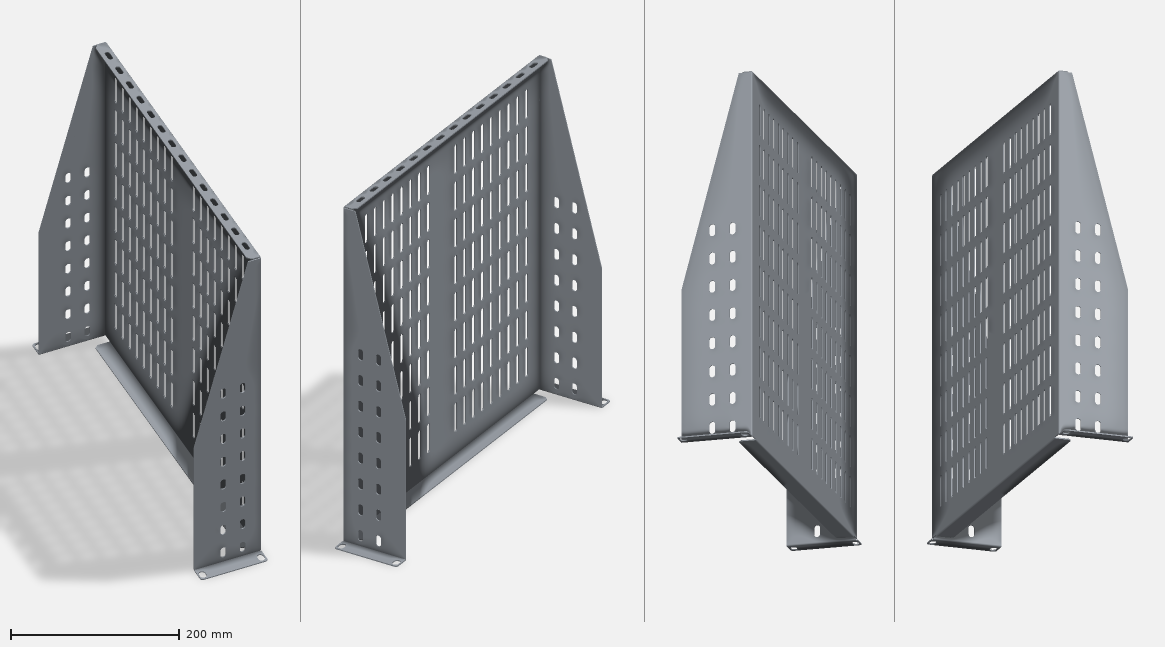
import cadquery as cq
import math

overall_width = 482.5
depth = 88.0
height = 455.0

sheet = 1.5
bend_radius = 1.7
inner_radius = bend_radius - sheet
fold_lap = 5.0

body_width = 443.0
side_top_depth = 16.5
side_straight_height = 190.0
top_flange_depth = 16.5
top_flange_chamfer = 5.5
bottom_flange_depth = 21.5
bottom_flange_width = 414.0
bottom_flange_chamfer = 4.0
ear_corner_radius = 3.5

rear_slot_length = 39.5
rear_slot_width = 6.5
rear_columns_per_block = 9
rear_inner_column = 31.0
rear_outer_column = 190.5
rear_rows = 8
rear_lowest_row = 51.5
rear_highest_row = 402.0

top_slot_length = 15.0
top_slot_width = 6.5
top_slot_count = 14
top_slot_span = 390.0
top_slot_setback = 8.0

side_slot_length = 15.0
side_slot_width = 7.0
side_slot_rows = 8
side_slot_lowest = 15.5
side_slot_highest = 261.0
side_slot_setbacks = (24.5, 49.5)

ear_slot_length = 12.0
ear_slot_width = 8.0
ear_slot_offset = 233.0
ear_slot_spacing = 76.0


def evenly_spaced(first, last, count):
    step = (last - first) / (count - 1)
    return [first + i * step for i in range(count)]


def folded_angle(plane, corner, u_leg, v_leg):
    """Closed outline of a folded L; the signs of the legs set their directions."""
    u_sign = math.copysign(1, u_leg)
    v_sign = math.copysign(1, v_leg)

    def at(u, v):
        return (corner[0] + u_sign * u, corner[1] + v_sign * v)

    u_end = abs(u_leg)
    v_end = abs(v_leg)
    outer_mid = bend_radius * (1 - math.sqrt(0.5))
    inner_mid = bend_radius - inner_radius * math.sqrt(0.5)
    return (
        cq.Workplane(plane)
        .moveTo(*at(bend_radius, 0))
        .lineTo(*at(u_end, 0))
        .lineTo(*at(u_end, sheet))
        .lineTo(*at(bend_radius, sheet))
        .threePointArc(at(inner_mid, inner_mid), at(sheet, bend_radius))
        .lineTo(*at(sheet, v_end))
        .lineTo(*at(0, v_end))
        .lineTo(*at(0, bend_radius))
        .threePointArc(at(outer_mid, outer_mid), at(bend_radius, 0))
        .close()
    )


def with_mirror(half):
    return half.union(half.mirror("YZ"))


def make_channel():
    """Rear panel and both side panels, with the side fronts sloping back to the top."""
    panel_height = height - 2 * bend_radius
    half = (
        folded_angle("XY", (-body_width / 2, 0), body_width / 2, -depth)
        .extrude(panel_height)
        .translate((0, 0, bend_radius))
    )
    slope = (
        cq.Workplane("YZ")
        .moveTo(-depth, side_straight_height)
        .lineTo(-side_top_depth, height)
        .lineTo(-depth, height)
        .close()
        .extrude(body_width, both=True)
    )
    return with_mirror(half).cut(slope)


def make_flange(edge_height, flange_depth, width, chamfer, lap_direction):
    """Flange folded forward from the rear panel, with its front corners cut off."""
    lap = lap_direction * (bend_radius + fold_lap)
    return (
        folded_angle("YZ", (0, edge_height), -flange_depth, lap)
        .extrude(width / 2, both=True)
        .edges("|Z and <Y")
        .chamfer(chamfer)
    )


def make_ear():
    """Left ear folded outward from the foot of the side panel."""
    corner_x = -body_width / 2 + sheet
    ear_width = overall_width / 2 + corner_x
    fold = (
        folded_angle("XZ", (corner_x, 0), -ear_width, bend_radius + fold_lap)
        .extrude(depth - bend_radius)
        .translate((0, -bend_radius, 0))
    )
    flat_width = ear_width - bend_radius
    flat = (
        cq.Workplane("XY")
        .box(flat_width, depth, sheet, centered=False)
        .translate((-overall_width / 2, -depth, 0))
    )
    return fold.union(flat).edges("|Z and <X").fillet(ear_corner_radius)


def rear_slots():
    columns = evenly_spaced(rear_inner_column, rear_outer_column, rear_columns_per_block)
    rows = evenly_spaced(rear_lowest_row, rear_highest_row, rear_rows)
    centres = [(side * x, z) for side in (-1, 1) for x in columns for z in rows]
    return (
        cq.Workplane("XZ")
        .pushPoints(centres)
        .slot2D(rear_slot_length, rear_slot_width, 90)
        .extrude(sheet)
    )


def top_slots():
    columns = evenly_spaced(-top_slot_span / 2, top_slot_span / 2, top_slot_count)
    return (
        cq.Workplane("XY", origin=(0, 0, height))
        .pushPoints([(x, -top_slot_setback) for x in columns])
        .slot2D(top_slot_length, top_slot_width)
        .extrude(-sheet)
    )


def side_slots():
    rows = evenly_spaced(side_slot_lowest, side_slot_highest, side_slot_rows)
    return (
        cq.Workplane("YZ")
        .pushPoints([(-setback, z) for setback in side_slot_setbacks for z in rows])
        .slot2D(side_slot_length, side_slot_width, 90)
        .extrude(body_width / 2, both=True)
    )


def ear_slots():
    return (
        cq.Workplane("XY", origin=(0, -depth / 2, 0))
        .rect(2 * ear_slot_offset, ear_slot_spacing, forConstruction=True)
        .vertices()
        .slot2D(ear_slot_length, ear_slot_width)
        .extrude(sheet)
    )


top_flange_width = body_width - 2 * bend_radius
top_flange = make_flange(height, top_flange_depth, top_flange_width, top_flange_chamfer, -1)
bottom_flange = make_flange(0, bottom_flange_depth, bottom_flange_width, bottom_flange_chamfer, 1)

result = (
    make_channel()
    .union(top_flange)
    .union(bottom_flange)
    .union(with_mirror(make_ear()))
    .cut(rear_slots())
    .cut(top_slots())
    .cut(side_slots())
    .cut(ear_slots())
)